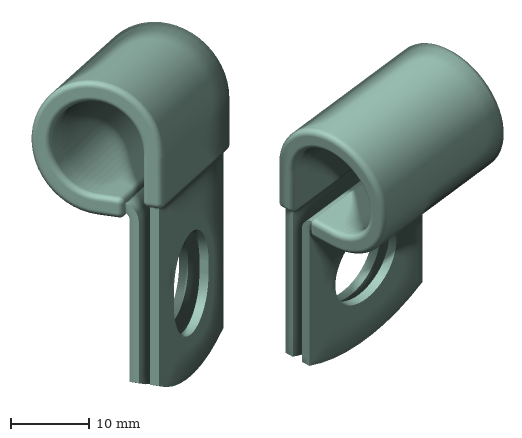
import cadquery as cq


total_height = 43.25
loop_diameter = 18.3
sleeve_width = 23.8

strap_thickness = 1.25
cover = 0.8
sleeve_thickness = strap_thickness + 2 * cover
strap_width = sleeve_width - 2 * cover

leg_length = 7.15
lip_length = 3.7

bent_tab_outer_x = 5.6
bend_inner_radius = 1.1
hole_diameter = 12.0
hole_depth_below_axis = 21.4
slot_stretch = 2.0
tip_rise = 2.55

outer_radius = loop_diameter / 2
inner_radius = outer_radius - sleeve_thickness
strap_outer_radius = outer_radius - cover
strap_inner_radius = strap_outer_radius - strap_thickness
tip_z = outer_radius - total_height
bend_outer_radius = bend_inner_radius + strap_thickness
bend_x = bent_tab_outer_x - bend_outer_radius
bend_z = -strap_inner_radius - bend_outer_radius
diagonal = 0.5 ** 0.5


def make_sleeve():
    """Three-quarter loop with a straight leg and lip, rounded on every outside edge."""
    profile = (
        cq.Workplane("XZ")
        .moveTo(outer_radius, -leg_length)
        .lineTo(outer_radius, 0)
        .threePointArc((-outer_radius * diagonal, outer_radius * diagonal), (0, -outer_radius))
        .lineTo(lip_length, -outer_radius)
        .lineTo(lip_length, -inner_radius)
        .lineTo(0, -inner_radius)
        .threePointArc((-inner_radius * diagonal, inner_radius * diagonal), (inner_radius, 0))
        .lineTo(inner_radius, -leg_length)
        .close()
    )
    sleeve = profile.extrude(sleeve_width / 2, both=True)
    leg_end = cq.selectors.NearestToPointSelector((outer_radius - sleeve_thickness / 2, 0, -leg_length))
    lip_end = cq.selectors.NearestToPointSelector((lip_length, 0, -outer_radius + sleeve_thickness / 2))
    rounded_faces = sleeve.faces("|Y").add(sleeve.faces(leg_end)).add(sleeve.faces(lip_end))
    return rounded_faces.edges().fillet(cover)


def make_strap():
    """Both tabs, with the bend that leads the near tab out of the sleeve lip."""
    straight_tab = (
        cq.Workplane("XZ")
        .moveTo(strap_inner_radius, 0)
        .lineTo(strap_outer_radius, 0)
        .lineTo(strap_outer_radius, tip_z)
        .lineTo(strap_inner_radius, tip_z)
        .close()
        .extrude(strap_width / 2, both=True)
    )
    bent_tab = (
        cq.Workplane("XZ")
        .moveTo(0, -strap_inner_radius)
        .lineTo(bend_x, -strap_inner_radius)
        .radiusArc((bent_tab_outer_x, bend_z), bend_outer_radius)
        .lineTo(bent_tab_outer_x, tip_z)
        .lineTo(bent_tab_outer_x - strap_thickness, tip_z)
        .lineTo(bent_tab_outer_x - strap_thickness, bend_z)
        .radiusArc((bend_x, -strap_outer_radius), -bend_inner_radius)
        .lineTo(0, -strap_outer_radius)
        .close()
        .extrude(strap_width / 2, both=True)
    )
    return straight_tab.union(bent_tab)


def make_tab_outline():
    """Block along X with the tab outline, curved at the tip."""
    half_width = strap_width / 2
    return (
        cq.Workplane("YZ")
        .moveTo(-half_width, 0)
        .lineTo(-half_width, tip_z + tip_rise)
        .threePointArc((0, tip_z), (half_width, tip_z + tip_rise))
        .lineTo(half_width, 0)
        .close()
        .extrude(loop_diameter)
    )


def make_bolt_opening():
    """Round hole through both tabs, lengthened to an upright slot in the straight tab."""
    hole = (
        cq.Workplane("YZ")
        .center(0, -hole_depth_below_axis)
        .circle(hole_diameter / 2)
        .extrude(strap_outer_radius)
    )
    slot = (
        cq.Workplane("YZ", origin=(strap_inner_radius, 0, -hole_depth_below_axis))
        .slot2D(hole_diameter + slot_stretch, hole_diameter, 90)
        .extrude(strap_thickness)
    )
    return hole.union(slot)


strap = make_strap().intersect(make_tab_outline()).cut(make_bolt_opening())
result = make_sleeve().union(strap)